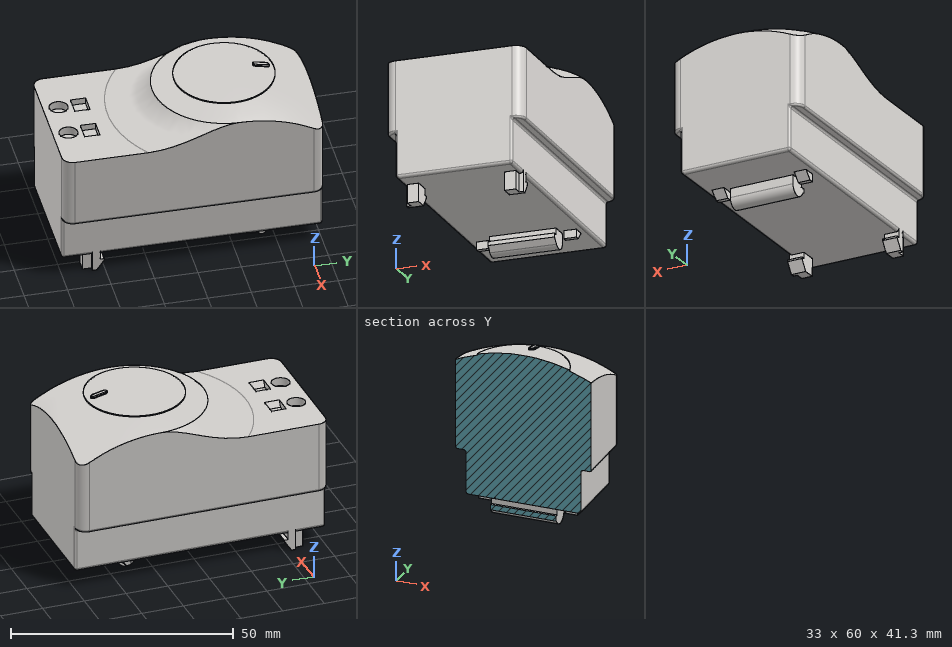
import cadquery as cq
import math

width = 33.0
length = 60.0
deck_z = 32.4
corner_radius = 2.5
edge_radius = 0.5

base_width = width - 2 * corner_radius
base_bottom_z = 4.4
base_edge_radius = 0.7
cover_bottom_z = 15.2

dome_y = 10.5
dome_radius = 39.0
dome_edge_radius = width / 2
dome_edge_z = 37.4
dome_center_z = dome_edge_z - math.sqrt(dome_radius**2 - dome_edge_radius**2)
blank_top_z = 45.0
skirt_radius = 26.8
cutter_radius = 50.0

knob_radius = 11.5
knob_step = 0.25
pointer_y = 19.0
pointer_length = 3.9
pointer_width = 1.35
pointer_height = 0.45
pointer_edge = 0.2

terminal_pitch = 10.0
screw_y = -26.4
screw_diameter = 4.25
screw_depth = 2.0
wire_y = -21.45
wire_length = 3.5
wire_floor_width = 3.65
wire_offset = 2.1
wire_slope = 0.8
wire_depth = 1.5

foot_width = 3.7
foot_step = 1.0
foot_hook_y = -21.1
foot_block_y = -22.9
foot_end_y = -25.0
tooth_reach = 0.95
tooth_top_z = 2.9
foot_tooth_low_z = 2.5
foot_tip_y = -21.9

latch_width = 16.0
latch_radius = 2.2
latch_y = 15.4
latch_neck_y = 13.5

wedge_outer_x = 12.0
wedge_inner_x = 9.0
wedge_front_y = 15.8
wedge_tip_y = 16.95
wedge_depth = 1.9

embed = 1.0
embed_top_z = base_bottom_z + embed

pick_margin = 0.1


def box_between(x0, x1, y0, y1, z0, z1):
    corner = cq.Workplane("XY", origin=(x0, y0, z0))
    return corner.box(x1 - x0, y1 - y0, z1 - z0, centered=False)


def dome_axis_plane():
    return cq.Workplane("XZ", origin=(0, dome_y, 0))


def make_skirt_cutter():
    """Half ring that leaves a concave skirt and the flat deck on the -Y side of the dome."""
    return (
        dome_axis_plane()
        .moveTo(cutter_radius, blank_top_z)
        .lineTo(cutter_radius, deck_z)
        .lineTo(skirt_radius, deck_z)
        .tangentArcPoint((dome_edge_radius, dome_edge_z), relative=False)
        .lineTo(dome_edge_radius, blank_top_z)
        .close()
        .revolve(180, (0, 0), (0, -1))
    )


def make_cover():
    blank = (
        cq.Workplane("XY", origin=(0, 0, cover_bottom_z))
        .rect(width, length)
        .extrude(blank_top_z - cover_bottom_z)
        .edges("|Z")
        .fillet(corner_radius)
        .faces("<Z")
        .edges()
        .fillet(edge_radius)
    )
    sphere = cq.Workplane("XY", origin=(0, dome_y, dome_center_z)).sphere(dome_radius)
    front_block = box_between(-width, width, -length, dome_y, 0, dome_edge_z)
    return blank.intersect(sphere.union(front_block)).cut(make_skirt_cutter())


def make_base():
    top_z = cover_bottom_z + edge_radius
    return (
        cq.Workplane("XY", origin=(0, 0, base_bottom_z))
        .rect(base_width, length)
        .extrude(top_z - base_bottom_z)
        .edges("|Z")
        .fillet(edge_radius)
        .faces("<Z")
        .edges()
        .fillet(base_edge_radius)
    )


def make_domed_cylinder(lift, radius):
    """Cylinder around the dome axis whose top is the dome sphere grown by `lift`."""
    grown = dome_radius + lift
    rim_z = dome_center_z + math.sqrt(grown**2 - radius**2)
    mid_z = dome_center_z + math.sqrt(grown**2 - (radius / 2) ** 2)
    return (
        dome_axis_plane()
        .moveTo(0, deck_z)
        .lineTo(radius, deck_z)
        .lineTo(radius, rim_z)
        .threePointArc((radius / 2, mid_z), (0, dome_center_z + grown))
        .close()
        .revolve()
    )


def make_pointer():
    blank = (
        cq.Workplane("XY", origin=(0, pointer_y, deck_z))
        .slot2D(pointer_length, pointer_width, 90)
        .extrude(blank_top_z - deck_z)
    )
    cap = make_domed_cylinder(knob_step + pointer_height, knob_radius)
    return blank.intersect(cap).faces(">Z").edges().chamfer(pointer_edge)


def make_foot():
    """Hooked foot at the -X side."""
    hook = (
        cq.Workplane("YZ", origin=(-base_width / 2, 0, 0))
        .moveTo(foot_block_y, embed_top_z)
        .lineTo(foot_block_y, 0)
        .lineTo(foot_tip_y, 0)
        .lineTo(foot_hook_y + tooth_reach, foot_tooth_low_z)
        .lineTo(foot_hook_y + tooth_reach, tooth_top_z)
        .lineTo(foot_hook_y, tooth_top_z)
        .lineTo(foot_hook_y, embed_top_z)
        .close()
        .extrude(foot_width)
    )
    block = box_between(
        foot_step - base_width / 2,
        foot_width - base_width / 2,
        foot_end_y,
        foot_block_y,
        0,
        embed_top_z,
    )
    return hook.union(block)


def make_latch():
    """Round-nosed latch bar with a tooth towards -Y."""
    back_y = latch_y + latch_radius
    tooth_y = latch_neck_y - tooth_reach
    diagonal = latch_radius / math.sqrt(2)
    flank_z = latch_radius - 2 * diagonal + (latch_y - tooth_y)
    return (
        cq.Workplane("YZ", origin=(-latch_width / 2, 0, 0))
        .moveTo(back_y, embed_top_z)
        .lineTo(back_y, latch_radius)
        .threePointArc((latch_y, 0), (latch_y - diagonal, latch_radius - diagonal))
        .lineTo(tooth_y, flank_z)
        .lineTo(tooth_y, tooth_top_z)
        .lineTo(latch_neck_y, tooth_top_z)
        .lineTo(latch_neck_y, embed_top_z)
        .close()
        .extrude(latch_width)
    )


def make_wedge():
    """Stop with a 45 degree rear flank at the -X side."""
    low_z = base_bottom_z - wedge_depth
    return (
        cq.Workplane("YZ", origin=(-wedge_outer_x, 0, 0))
        .moveTo(wedge_front_y, low_z)
        .lineTo(wedge_tip_y, low_z)
        .lineTo(wedge_tip_y + wedge_depth, base_bottom_z)
        .lineTo(wedge_tip_y + wedge_depth, embed_top_z)
        .lineTo(wedge_front_y, embed_top_z)
        .close()
        .extrude(wedge_outer_x - wedge_inner_x)
    )


def make_wire_opening(center_x):
    """Square pocket with its +X wall sloping outwards."""
    floor_z = deck_z - wire_depth
    x0 = center_x - wire_offset
    x1 = x0 + wire_floor_width
    return (
        cq.Workplane("XZ", origin=(0, wire_y, 0))
        .moveTo(x0, floor_z)
        .lineTo(x1, floor_z)
        .lineTo(x1 + wire_slope, deck_z)
        .lineTo(x0, deck_z)
        .close()
        .extrude(wire_length / 2, both=True)
    )


def make_screw_opening(center_x):
    return (
        cq.Workplane("XY", origin=(center_x, screw_y, deck_z - screw_depth))
        .circle(screw_diameter / 2)
        .extrude(screw_depth)
    )


def round_inner_corners(body):
    """Fillet the long inner corners between base and cover."""
    for side in (-1, 1):
        x = side * base_width / 2
        corner = cq.selectors.BoxSelector(
            (x - pick_margin, -length, cover_bottom_z - pick_margin),
            (x + pick_margin, length, cover_bottom_z + pick_margin),
        )
        body = body.edges("|Y").edges(corner).fillet(edge_radius)
    return body


result = round_inner_corners(make_cover().union(make_base()))
result = result.union(make_domed_cylinder(knob_step, knob_radius))
result = result.union(make_pointer())
result = result.union(make_latch())
for side_part in (make_foot(), make_wedge()):
    result = result.union(side_part).union(side_part.mirror("YZ"))
for opening_x in (-terminal_pitch / 2, terminal_pitch / 2):
    result = result.cut(make_wire_opening(opening_x))
    result = result.cut(make_screw_opening(opening_x))